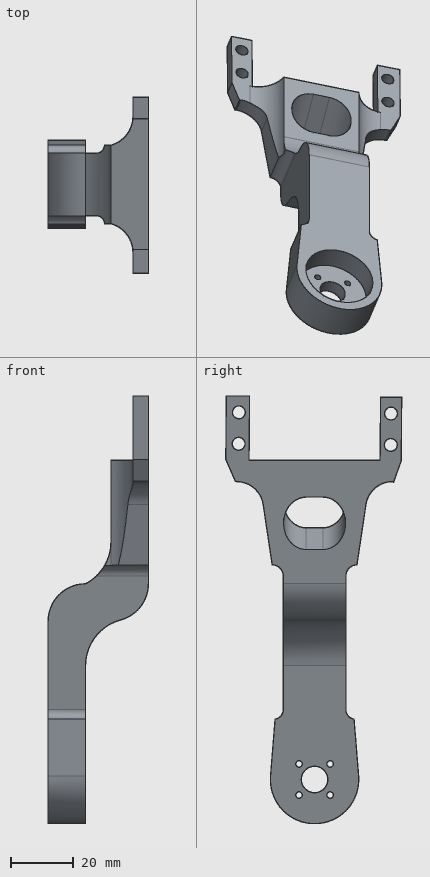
import cadquery as cq
import math


leg_thickness = 12.0
total_depth = 32.0
upper_face_x = total_depth - leg_thickness
crank_radius = leg_thickness
outer_bend_z = 50.3
inner_bend_z = outer_bend_z + crank_radius
hollow_radius = 15.0

pocket_dia = 22.2
pocket_depth = 7.5
boss_wall = 3.0
boss_radius = pocket_dia / 2 + boss_wall
bore_dia = 8.35
bolt_hole_dia = 2.0
bolt_circle_radius = 7.0
bolt_count = 4
bolt_start_deg = 45
beam_half_width = 10.0
boss_shoulder_half_width = 12.6
boss_fillet = 3.0
boss_fillet_top_z = 22.2

pad_top_z = 101.6
pad_fillet = 3.5
pad_bottom_z = 68.25
pad_draft = math.radians(8.5)
flare_radius = 8.4
flare_center_y = 24.7
flare_center_z = 86.3
pad_face_half_width = 12.5
scoop_half_width = 21.6

arm_thickness = 5.0
arm_face_x = total_depth - arm_thickness
arm_top_z = 121.82
arm_tilt = math.radians(0.45)
arm_toe_y = 25.2
arm_toe_z = flare_center_z + flare_radius
arm_inner_y = 20.8
wide_arm_outer_y = 28.28
narrow_arm_outer_y = 27.6
arm_hole_dia = 4.0
arm_hole_y = 24.2
arm_hole_z = (106.6, 116.6)

slot_flat = 5.3
slot_width = 14.4
slot_center_z = 88.4
slot_slant_deg = 30.0

overrun = 10.0
outline_half_width = 40.0

quarter_arc_mid = math.radians(135)


def on_circle(center, radius, angle):
    return (center[0] + radius * math.cos(angle), center[1] + radius * math.sin(angle))


def tilted(y, z):
    """Turn an arm point about the middle of the pad's top edge."""
    dz = z - pad_top_z
    return (
        y * math.cos(arm_tilt) + dz * math.sin(arm_tilt),
        pad_top_z - y * math.sin(arm_tilt) + dz * math.cos(arm_tilt),
    )


def cranked_profile():
    front_bend_center = (crank_radius, outer_bend_z)
    front_bend_mid = on_circle(front_bend_center, crank_radius, quarter_arc_mid)
    front_crown = (crank_radius, inner_bend_z)
    back_bend_center = (total_depth - crank_radius, inner_bend_z)

    front_hollow_run = upper_face_x - front_crown[0]
    front_hollow_sweep = math.acos(1 - front_hollow_run / hollow_radius)
    front_hollow_top_z = inner_bend_z + hollow_radius * math.sin(front_hollow_sweep)
    front_hollow_center = (upper_face_x - hollow_radius, front_hollow_top_z)
    front_hollow_mid = on_circle(front_hollow_center, hollow_radius, front_hollow_sweep / -2)

    center_gap = crank_radius + hollow_radius
    back_hollow_x = leg_thickness + hollow_radius
    join_angle = math.acos((back_bend_center[0] - back_hollow_x) / center_gap)
    back_hollow_center = (back_hollow_x, inner_bend_z - center_gap * math.sin(join_angle))
    back_join = on_circle(back_hollow_center, hollow_radius, join_angle)
    back_hollow_mid = on_circle(back_hollow_center, hollow_radius, (join_angle + math.pi) / 2)
    back_bend_mid = on_circle(back_bend_center, crank_radius, (join_angle - math.pi) / 2)

    profile = (
        cq.Workplane("XZ")
        .moveTo(0, -boss_radius)
        .lineTo(0, outer_bend_z)
        .threePointArc(front_bend_mid, front_crown)
        .threePointArc(front_hollow_mid, (upper_face_x, front_hollow_top_z))
        .lineTo(upper_face_x, pad_top_z)
        .lineTo(arm_face_x, pad_top_z)
        .lineTo(arm_face_x, arm_top_z + overrun)
        .lineTo(total_depth, arm_top_z + overrun)
        .lineTo(total_depth, inner_bend_z)
        .threePointArc(back_bend_mid, back_join)
        .threePointArc(back_hollow_mid, (leg_thickness, back_hollow_center[1]))
        .lineTo(leg_thickness, -boss_radius)
        .close()
    )
    return profile.extrude(outline_half_width, both=True)


def half_outline(side, arm_outer_y):
    """One half of the YZ outline; side is +1 for +Y and -1 for -Y."""
    boss_fillet_center = (beam_half_width + boss_fillet, boss_fillet_top_z)
    fillet_end = math.pi + math.acos((boss_fillet_center[0] - boss_shoulder_half_width) / boss_fillet)
    boss_shoulder = on_circle(boss_fillet_center, boss_fillet, fillet_end)
    boss_fillet_mid = on_circle(boss_fillet_center, boss_fillet, (math.pi + fillet_end) / 2)
    shoulder_distance = math.hypot(*boss_shoulder)
    shoulder_angle = math.atan2(boss_shoulder[1], boss_shoulder[0])
    flank_angle = shoulder_angle - math.acos(boss_radius / shoulder_distance)
    flank_foot = on_circle((0, 0), boss_radius, flank_angle)
    boss_mid = on_circle((0, 0), boss_radius, (flank_angle - math.pi / 2) / 2)

    pad_fillet_center = (beam_half_width + pad_fillet, pad_bottom_z - pad_fillet)
    pad_fillet_mid = on_circle(pad_fillet_center, pad_fillet, quarter_arc_mid)
    flare_center = (flare_center_y, flare_center_z)
    flare_start_angle = math.pi - pad_draft
    flare_start = on_circle(flare_center, flare_radius, flare_start_angle)
    flare_mid = on_circle(flare_center, flare_radius, (flare_start_angle + math.pi / 2) / 2)
    pad_corner_y = flare_start[0] - (flare_start[1] - pad_bottom_z) * math.tan(pad_draft)

    def placed(point):
        return (side * point[0], point[1])

    outline = (
        cq.Workplane("YZ")
        .moveTo(0, -boss_radius)
        .threePointArc(placed(boss_mid), placed(flank_foot))
        .lineTo(*placed(boss_shoulder))
        .threePointArc(placed(boss_fillet_mid), placed((beam_half_width, boss_fillet_top_z)))
        .lineTo(*placed((beam_half_width, pad_fillet_center[1])))
        .threePointArc(placed(pad_fillet_mid), placed((pad_fillet_center[0], pad_bottom_z)))
        .lineTo(*placed((pad_corner_y, pad_bottom_z)))
        .lineTo(*placed(flare_start))
        .threePointArc(placed(flare_mid), placed((flare_center_y, arm_toe_z)))
        .lineTo(*tilted(side * arm_toe_y, arm_toe_z))
        .lineTo(*tilted(side * arm_outer_y, pad_top_z))
        .lineTo(*tilted(side * arm_outer_y, arm_top_z))
        .lineTo(*tilted(side * arm_inner_y, arm_top_z))
        .lineTo(side * arm_inner_y, pad_top_z)
        .lineTo(0, pad_top_z)
        .close()
    )
    return outline.extrude(total_depth)


def side_scoop(side):
    """Hollow that thins the pad from its front face out to an arm."""
    scoop_run = arm_face_x - upper_face_x
    scoop_spread = scoop_half_width - pad_face_half_width
    radius = (scoop_run**2 + scoop_spread**2) / (2 * scoop_run)
    sweep = math.asin(scoop_spread / radius)
    arc_mid = on_circle((arm_face_x - radius, scoop_half_width), radius, -sweep / 2)
    return (
        cq.Workplane("XY", origin=(0, 0, pad_bottom_z - pad_fillet))
        .moveTo(0, side * pad_face_half_width)
        .lineTo(upper_face_x, side * pad_face_half_width)
        .threePointArc((arc_mid[0], side * arc_mid[1]), (arm_face_x, side * scoop_half_width))
        .lineTo(arm_face_x, side * outline_half_width)
        .lineTo(0, side * outline_half_width)
        .close()
        .extrude(arm_top_z)
    )


def boss_holes():
    pocket = cq.Workplane("YZ").circle(pocket_dia / 2).extrude(pocket_depth)
    bore = cq.Workplane("YZ").circle(bore_dia / 2).extrude(leg_thickness)
    bolt_holes = (
        cq.Workplane("YZ")
        .polarArray(bolt_circle_radius, bolt_start_deg, 360, bolt_count)
        .circle(bolt_hole_dia / 2)
        .extrude(leg_thickness)
    )
    return pocket.union(bore).union(bolt_holes)


def arm_holes():
    centers = [tilted(side * arm_hole_y, z) for side in (1, -1) for z in arm_hole_z]
    return cq.Workplane("YZ").pushPoints(centers).circle(arm_hole_dia / 2).extrude(total_depth)


def slanted_slot():
    """Slot that drops toward +X, centred on the pad's front face."""
    slot = (
        cq.Workplane("YZ")
        .slot2D(slot_flat + slot_width, slot_width)
        .extrude(leg_thickness + overrun, both=True)
    )
    slot = slot.rotate((0, 0, 0), (0, 1, 0), slot_slant_deg)
    return slot.translate((upper_face_x, 0, slot_center_z))


front_outline = half_outline(1, narrow_arm_outer_y).union(half_outline(-1, wide_arm_outer_y))
result = cranked_profile().intersect(front_outline)
for side in (1, -1):
    result = result.cut(side_scoop(side))
result = result.cut(boss_holes()).cut(arm_holes()).cut(slanted_slot())